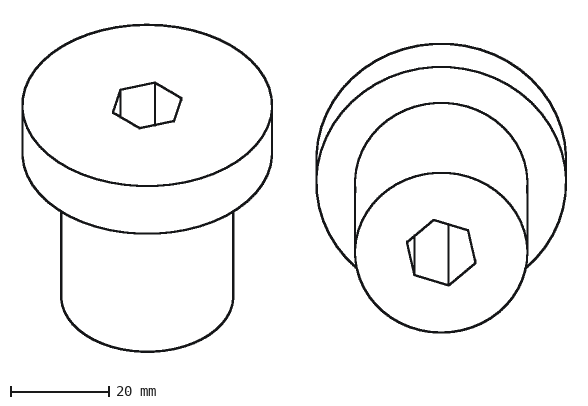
import cadquery as cq
import math

total_height = 50.8
head_diameter = 50.8
head_height = 12.7
shank_diameter = 35.05
hex_across_flats = 12.7

shank_height = total_height - head_height
hex_across_corners = hex_across_flats / math.cos(math.pi / 6)

shank = cq.Workplane("XY").circle(shank_diameter / 2).extrude(shank_height)
head = (
    cq.Workplane("XY")
    .workplane(offset=shank_height)
    .circle(head_diameter / 2)
    .extrude(head_height)
)

hex_hole = (
    cq.Workplane("XY")
    .transformed(rotate=(0, 0, 90))
    .polygon(6, hex_across_corners)
    .extrude(total_height)
)

result = shank.union(head).cut(hex_hole)